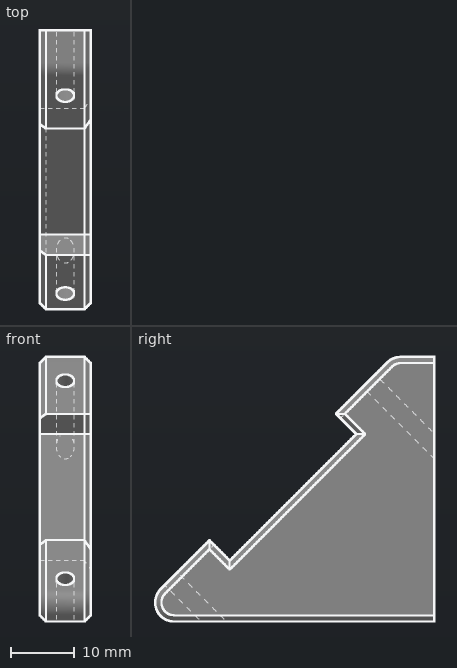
import cadquery as cq
import math

THICKNESS = 8.0
HEIGHT = 41.5
SLOPE_REACH = 48.0
CORNER_RADIUS = 3.0
EDGE_CHAMFER = 1.0

NOTCH_START = -12.1
NOTCH_LENGTH = 28.0
NOTCH_DEPTH = 4.5

HOLE_DIAMETER = 2.8
HOLE_SPACING = 31.0 * math.sqrt(2)
HOLE_MIDPOINT = 2.5

ROOT_HALF = math.sqrt(0.5)


def slope_workplane():
    """Plane on the slope: local x runs downhill, local y along X, normal outward."""
    return cq.Workplane(cq.Plane(
        origin=(0, -SLOPE_REACH / 2, SLOPE_REACH / 2),
        xDir=(0, -ROOT_HALF, -ROOT_HALF),
        normal=(0, -ROOT_HALF, ROOT_HALF),
    ))


def chamfer_side(body, side):
    """Chamfer the outline of one side face, leaving its back edge sharp."""
    return body.faces(side).edges("not(>Y)").chamfer(EDGE_CHAMFER)


def make_plate():
    outline = [
        (0, 0),
        (0, HEIGHT),
        (HEIGHT - SLOPE_REACH, HEIGHT),
        (-SLOPE_REACH, 0),
    ]
    plate = cq.Workplane("YZ").polyline(outline).close().extrude(THICKNESS / 2, both=True)
    return plate.edges("|X").edges("not(>Y)").fillet(CORNER_RADIUS)


def make_notch():
    return (
        slope_workplane()
        .center(NOTCH_START + NOTCH_LENGTH / 2, 0)
        .rect(NOTCH_LENGTH, THICKNESS)
        .extrude(NOTCH_DEPTH, both=True)
    )


def make_holes():
    """Two holes square to the slope, running through to the back and the base."""
    return (
        slope_workplane()
        .center(HOLE_MIDPOINT, 0)
        .rarray(HOLE_SPACING, 1, 2, 1)
        .circle(HOLE_DIAMETER / 2)
        .extrude(-SLOPE_REACH)
    )


bracket = chamfer_side(make_plate(), "<X")
bracket = bracket.cut(make_notch())
bracket = chamfer_side(bracket, ">X")
result = bracket.cut(make_holes())